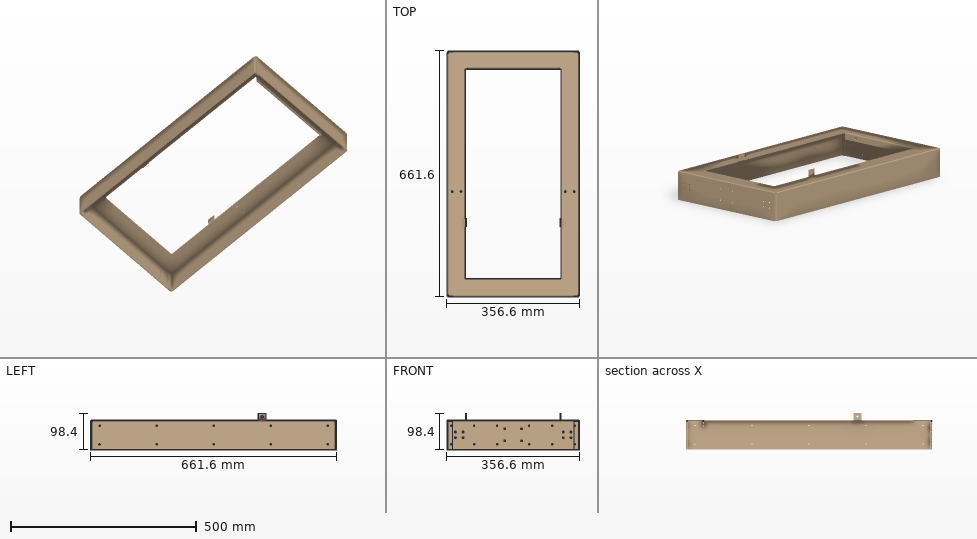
import cadquery as cq
import math

width = 356.55
length = 661.59
total_height = 98.41
frame_height = 80.0

sheet = 2.5
bend_outer = 3.0
bend_inner = bend_outer - sheet

rim = 50.0
back_rim = 49.0
window_half_x = width / 2 - rim
window_front_y = -(length / 2 - rim)
window_back_y = length / 2 - back_rim

window_flange_length = 247.0
window_flange_height = 19.0
window_flange_hole_diameter = 6.5
window_flange_hole_x = 85.0
window_flange_hole_z = 70.0

tab_length = 15.0

bracket_width = 21.5
bracket_y = -130.5
bracket_hole_diameter = 5.0
bracket_hole_drop = 9.3
bracket_height = total_height - frame_height + sheet

rivet_diameter = 3.0
rivet_rows_z = (15.0, 65.0)
end_rivets_x = (43.0, 105.0, 166.0)
side_rivets_y = (-307.0, -153.5, 0.0, 153.5, 307.0)

mount_diameter = 4.5
mount_z = 40.6
corner_mounts_x = (134.8, 155.3)
corner_mount_pitch_z = 15.0
centre_mount_x = 22.6
centre_mount_pitch_z = 32.5

plate_hole_diameter = 3.3
plate_holes_x = (140.4, 164.0)
plate_holes_y = -47.0


def folded_flange(span, face, height):
    """Flange folded down from the plate: centred on X, with its outer face at Y = face."""
    top = frame_height
    tangent = face - bend_outer
    bend_z = top - bend_outer
    outer_mid = bend_outer * math.sqrt(0.5)
    inner_mid = bend_inner * math.sqrt(0.5)
    profile = (
        cq.Workplane("YZ", origin=(-span / 2, 0, 0))
        .moveTo(tangent, top)
        .threePointArc((tangent + outer_mid, bend_z + outer_mid), (face, bend_z))
        .lineTo(face, top - height)
        .lineTo(face - sheet, top - height)
        .lineTo(face - sheet, bend_z)
        .threePointArc((tangent + inner_mid, bend_z + inner_mid), (tangent, top - sheet))
        .close()
    )
    return profile.extrude(span)


def turned(shape, angle):
    return shape.rotate((0, 0, 0), (0, 0, 1), angle)


def box_between(x_range, y_range, z_range):
    sizes = [high - low for low, high in (x_range, y_range, z_range)]
    corner = (x_range[0], y_range[0], z_range[0])
    return cq.Workplane("XY").box(*sizes, centered=False).translate(corner)


def make_top_plate():
    half_x = width / 2 - bend_outer
    half_y = length / 2 - bend_outer
    layer = (frame_height - sheet, frame_height)
    plate = box_between((-half_x, half_x), (-half_y, half_y), layer)
    window = box_between(
        (-window_half_x, window_half_x), (window_front_y, window_back_y), layer
    )
    flange_half = window_flange_length / 2
    flange_notch = box_between(
        (-flange_half, flange_half), (window_back_y, window_back_y + bend_outer), layer
    )
    plate = plate.cut(window).cut(flange_notch)
    bracket_notch_half_x = window_half_x + bend_inner
    bracket_notch = box_between(
        (-bracket_notch_half_x, bracket_notch_half_x),
        (bracket_y - bracket_width / 2, bracket_y + bracket_width / 2),
        layer,
    )
    return plate.cut(bracket_notch)


def make_end_walls():
    wall = folded_flange(width - 2 * bend_outer, length / 2, frame_height)
    return wall.union(turned(wall, 180))


def make_side_wall():
    """The +X wall, with its top fold and a folded tab at each end."""
    end_y = length / 2 - sheet
    outer_x = width / 2
    tab_end_x = outer_x - tab_length
    wall_height = frame_height - bend_outer
    outside = (
        box_between((tab_end_x, outer_x), (-end_y, end_y), (0, wall_height))
        .edges("|Z and >X")
        .fillet(bend_outer)
    )
    inside = (
        box_between(
            (tab_end_x, outer_x - sheet), (-end_y + sheet, end_y - sheet), (0, wall_height)
        )
        .edges("|Z and >X")
        .fillet(bend_inner)
    )
    top_fold = turned(
        folded_flange(2 * (end_y - bend_outer), outer_x, frame_height), -90
    )
    return outside.cut(inside).union(top_fold)


def make_window_flange():
    flange = folded_flange(window_flange_length, -window_back_y, window_flange_height)
    return turned(flange, 180)


def make_left_bracket():
    """Bracket on the -X edge of the window, standing above the plate."""
    face_x = -(window_half_x - sheet)
    folded_down = turned(folded_flange(bracket_width, face_x, bracket_height), -90)
    plate_middle = (0, 0, frame_height - sheet / 2)
    return folded_down.mirror("XY", plate_middle).translate((0, bracket_y, 0))


def holes_along_y(points, diameter, y_range):
    plane = cq.Workplane("XZ", origin=(0, y_range[1], 0))
    return plane.pushPoints(points).circle(diameter / 2).extrude(y_range[1] - y_range[0])


def holes_along_x(points, diameter):
    """Holes running through the whole width, so both sides are drilled alike."""
    plane = cq.Workplane("YZ", origin=(-width / 2, 0, 0))
    return plane.pushPoints(points).circle(diameter / 2).extrude(width)


def both_sides(values):
    return [sign * value for value in values for sign in (-1, 1)]


def drill_end_walls(body):
    half_y = length / 2
    wall_depth = 2 * sheet
    front = (-half_y, -half_y + wall_depth)
    back = (half_y - wall_depth, half_y)
    rivets = [(x, z) for x in both_sides(end_rivets_x) for z in rivet_rows_z]
    for y_range in (front, back):
        body = body.cut(holes_along_y(rivets, rivet_diameter, y_range))

    corner_z = (mount_z - corner_mount_pitch_z / 2, mount_z + corner_mount_pitch_z / 2)
    corner_mounts = [(x, z) for x in both_sides(corner_mounts_x) for z in corner_z]
    body = body.cut(holes_along_y(corner_mounts, mount_diameter, front))

    centre_z = (mount_z - centre_mount_pitch_z / 2, mount_z + centre_mount_pitch_z / 2)
    centre_mounts = [(x, z) for x in both_sides([centre_mount_x]) for z in centre_z]
    return body.cut(holes_along_y(centre_mounts, mount_diameter, front))


def drill_side_walls_and_brackets(body):
    rivets = [(y, z) for y in side_rivets_y for z in rivet_rows_z]
    body = body.cut(holes_along_x(rivets, rivet_diameter))
    bracket_hole = [(bracket_y, total_height - bracket_hole_drop)]
    return body.cut(holes_along_x(bracket_hole, bracket_hole_diameter))


def drill_window_flange(body):
    points = [(x, window_flange_hole_z) for x in both_sides([window_flange_hole_x])]
    y_range = (window_back_y, window_back_y + sheet)
    return body.cut(holes_along_y(points, window_flange_hole_diameter, y_range))


def drill_top_plate(body):
    points = [(x, plate_holes_y) for x in both_sides(plate_holes_x)]
    plane = cq.Workplane("XY", origin=(0, 0, frame_height - sheet))
    return body.cut(plane.pushPoints(points).circle(plate_hole_diameter / 2).extrude(sheet))


side_wall = make_side_wall()
left_bracket = make_left_bracket()

body = make_top_plate().union(make_end_walls())
body = body.union(side_wall).union(side_wall.mirror("YZ"))
body = body.union(make_window_flange())
body = body.union(left_bracket).union(left_bracket.mirror("YZ"))
body = drill_end_walls(body)
body = drill_side_walls_and_brackets(body)
body = drill_window_flange(body)
result = drill_top_plate(body)